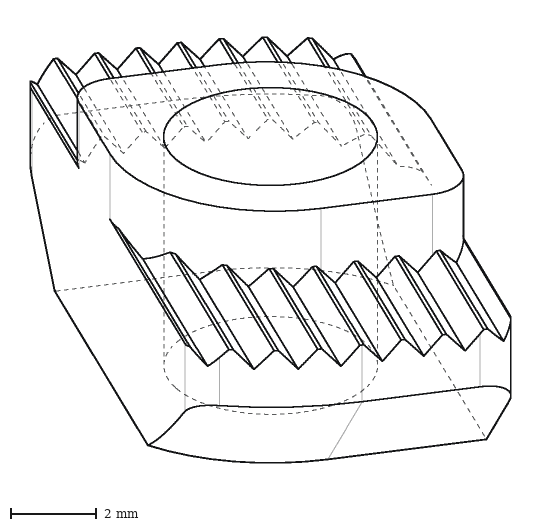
import cadquery as cq
import math

length = 16.0
width = 7.7
shoulder_height = 4.5
bevel = 3.0
corner_radius = 1.0

total_height = 6.0
boss_arc_radius = 4.0
hole_diameter = 5.0

tooth_pitch = 1.0
tooth_depth = 0.5
crest_width = 0.1
edge_chamfer = 0.05
end_overlap = 0.16

half_length = length / 2
half_width = width / 2


def half_turn(shape):
    return shape.rotate((0, 0, 0), (0, 0, 1), 180)


def half_section():
    """Profile from the Z axis to the +X end, drawn in the XZ plane."""
    return (
        cq.Workplane("XZ")
        .lineTo(half_length - bevel, 0)
        .lineTo(half_length, bevel)
        .lineTo(half_length, shoulder_height)
        .lineTo(0, shoulder_height)
        .close()
    )


def make_body():
    """Block with flat and conical bevels on opposite quadrants, trimmed to the plan outline."""
    square_quadrant = half_section().extrude(-half_width)
    quadrant_space = (
        cq.Workplane("XY")
        .box(half_length, half_width, shoulder_height, centered=False)
        .translate((0, -half_width, 0))
    )
    round_quadrant = half_section().revolve(360, (0, 0, 0), (0, 1, 0)).intersect(quadrant_space)
    half = square_quadrant.union(round_quadrant)
    return half.union(half_turn(half)).intersect(make_rounded_outline())


def make_rounded_outline():
    """Prism of the plan outline, with all four corners rounded."""
    round_end_x = math.sqrt(half_length**2 - half_width**2)
    arc_angle = math.asin(half_width / half_length) / 2
    arc_mid = (half_length * math.cos(arc_angle), half_length * math.sin(arc_angle))
    return (
        cq.Workplane("XY")
        .moveTo(-half_length, 0)
        .lineTo(-half_length, -half_width)
        .lineTo(round_end_x, -half_width)
        .threePointArc((arc_mid[0], -arc_mid[1]), (half_length, 0))
        .lineTo(half_length, half_width)
        .lineTo(-round_end_x, half_width)
        .threePointArc((-arc_mid[0], arc_mid[1]), (-half_length, 0))
        .close()
        .extrude(shoulder_height)
        .edges("|Z and (>(1, 1, 0) or <(1, 1, 0) or >(1, -1, 0) or <(1, -1, 0))")
        .fillet(corner_radius)
    )


def make_serrated_space():
    """Space above the serrations, with V teeth below that cut grooves along X."""
    groove_half_width = (tooth_pitch - crest_width) / 2
    grooves_per_side = math.ceil(half_width / tooth_pitch)
    outline = []
    for index in range(-grooves_per_side, grooves_per_side):
        center_y = (index + 0.5) * tooth_pitch
        outline += [
            (center_y - groove_half_width, shoulder_height),
            (center_y, shoulder_height - tooth_depth),
            (center_y + groove_half_width, shoulder_height),
        ]
    valley_y = outline[-2][0]
    chamfer_y = half_width - edge_chamfer
    chamfer_z = shoulder_height - tooth_depth + tooth_depth * (chamfer_y - valley_y) / groove_half_width
    outer_y = half_width + edge_chamfer
    outer_z = chamfer_z - 2 * edge_chamfer
    outline[0:1] = [(-outer_y, outer_z), (-chamfer_y, chamfer_z)]
    outline[-1:] = [(chamfer_y, chamfer_z), (outer_y, outer_z)]
    outline += [(outer_y, total_height), (-outer_y, total_height)]
    return (
        cq.Workplane("YZ")
        .polyline(outline)
        .close()
        .extrude(half_length + end_overlap, both=True)
    )


def make_boss():
    """Square boss with two opposite corners swept to large arcs and the others lightly rounded."""
    return (
        cq.Workplane("XY")
        .rect(width, width)
        .extrude(total_height)
        .edges("|Z and (>(1, -1, 0) or <(1, -1, 0))")
        .fillet(boss_arc_radius)
        .edges("|Z and (>(1, 1, 0) or <(1, 1, 0))")
        .fillet(corner_radius)
    )


result = (
    make_body()
    .cut(make_serrated_space())
    .union(make_boss())
    .cut(cq.Workplane("XY").circle(hole_diameter / 2).extrude(total_height))
)